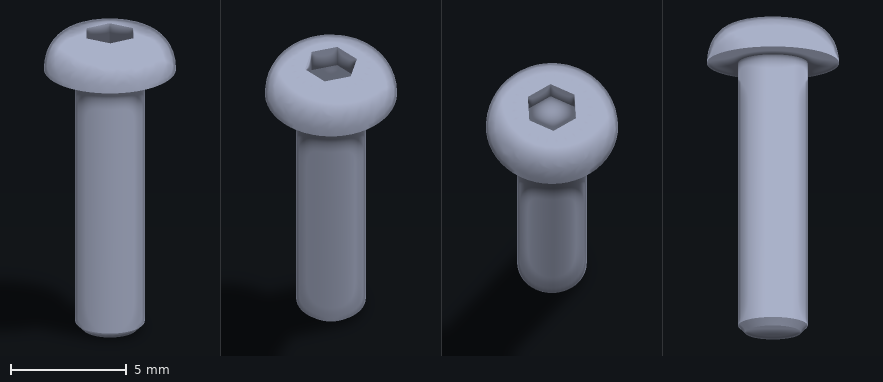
import cadquery as cq
import math

total_length = 13.65
head_diameter = 5.7
head_height = 1.65
head_flat_diameter = 2.9
rim_pull = 0.83
flat_pull = 0.94
shank_diameter = 3.0
tip_chamfer = 0.3
socket_across_flats = 2.02
socket_depth = 1.04


def make_head():
    """Domed button head; the dome leaves the rim upright and meets the flat top level."""
    rim_radius = head_diameter / 2
    flat_radius = head_flat_diameter / 2
    dome_curve = [
        (rim_radius, -head_height),
        (rim_radius, -head_height + rim_pull),
        (flat_radius + flat_pull, 0),
        (flat_radius, 0),
    ]
    return (
        cq.Workplane("XZ")
        .moveTo(0, -head_height)
        .lineTo(rim_radius, -head_height)
        .bezier(dome_curve)
        .lineTo(0, 0)
        .close()
        .revolve(360, (0, 0, 0), (0, 1, 0))
    )


def make_shank():
    """Plain cylindrical shank with a chamfered tip."""
    return (
        cq.Workplane("XY")
        .workplane(offset=-total_length)
        .circle(shank_diameter / 2)
        .extrude(total_length - head_height)
        .faces("<Z")
        .chamfer(tip_chamfer)
    )


def make_socket():
    """Hexagonal key socket with two corners on the X axis."""
    across_corners = socket_across_flats / math.cos(math.pi / 6)
    return cq.Workplane("XY").polygon(6, across_corners).extrude(-socket_depth)


result = make_head().union(make_shank()).cut(make_socket())